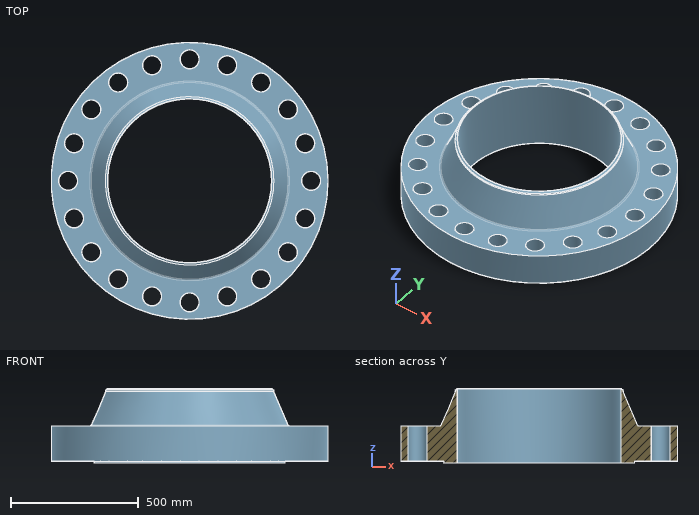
import cadquery as cq
import math

flange_diameter = 1085.85
flange_thickness = 139.7
raised_face_diameter = 749.3
raised_face_height = 6.35

neck_length = 285.75
hub_base_diameter = 774.7
weld_end_diameter = 660.4
bore_diameter = 641.35
weld_land_length = 6.35
hub_root_radius = 6.35

root_face_width = 1.6
bevel_angle = 37.5

bolt_count = 20
bolt_hole_diameter = 73.15
bolt_circle_diameter = 952.5

flange_bottom = raised_face_height
flange_top = flange_bottom + flange_thickness
neck_top = flange_bottom + neck_length
root_face_radius = bore_diameter / 2 + root_face_width
bevel_height = (weld_end_diameter / 2 - root_face_radius) * math.tan(math.radians(bevel_angle))
bevel_bottom = neck_top - bevel_height
taper_top = bevel_bottom - weld_land_length


taper_angle = math.atan2(taper_top - flange_top, (hub_base_diameter - weld_end_diameter) / 2)
root_tangent = hub_root_radius * math.tan(taper_angle / 2)
root_face_end = (hub_base_diameter / 2 + root_tangent, flange_top)
root_taper_end = (
    hub_base_diameter / 2 - root_tangent * math.cos(taper_angle),
    flange_top + root_tangent * math.sin(taper_angle),
)


def flange_body():
    """Revolve the half section of the ring, tapered hub and weld end about Z."""
    section = (
        cq.Workplane("XZ")
        .moveTo(bore_diameter / 2, 0)
        .lineTo(raised_face_diameter / 2, 0)
        .lineTo(raised_face_diameter / 2, flange_bottom)
        .lineTo(flange_diameter / 2, flange_bottom)
        .lineTo(flange_diameter / 2, flange_top)
        .lineTo(*root_face_end)
        .tangentArcPoint(root_taper_end, relative=False)
        .lineTo(weld_end_diameter / 2, taper_top)
        .lineTo(weld_end_diameter / 2, bevel_bottom)
        .lineTo(root_face_radius, neck_top)
        .lineTo(bore_diameter / 2, neck_top)
        .close()
    )
    return section.revolve(360, (0, 0, 0), (0, 1, 0))


def drill_bolt_holes(body):
    """Cut the ring of through holes, the first one on the +X axis."""
    holes = (
        cq.Workplane("XY")
        .workplane(offset=flange_bottom)
        .polarArray(bolt_circle_diameter / 2, 0, 360, bolt_count)
        .circle(bolt_hole_diameter / 2)
        .extrude(flange_thickness)
    )
    return body.cut(holes)


result = drill_bolt_holes(flange_body())